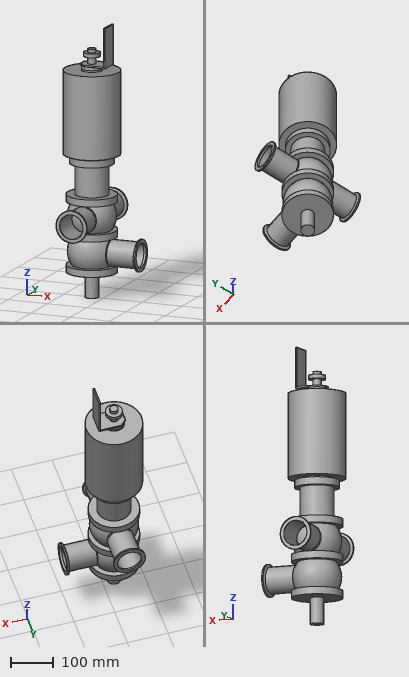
import cadquery as cq
import math

DRAIN_BOTTOM = 0.0
LOWER_CHAMBER_Z = 112.0
CHAMBER_PITCH = 85.5
UPPER_CHAMBER_Z = LOWER_CHAMBER_Z + CHAMBER_PITCH
FLANGE_THICKNESS = 17.0
FLANGE_BOTTOMS = [62.0, 147.0, 232.0]
COLLAR_BOTTOM = 324.0
COLLAR_TOP = 341.5
ACTUATOR_BOTTOM = 346.5
ACTUATOR_TOP = 548.5
SEAT_TOP = 552.5
BASE_TOP = 560.5
KNOB_BOTTOM = 582.0
KNOB_TOP = 591.0
TIP_TOP = 600.0

DRAIN_DIA = 32.0
FLANGE_DIA = 121.0
CHAMBER_DIA = 116.0
NECK_DIA = 80.0
COLLAR_DIA = 105.0
ACTUATOR_DIA = 135.5
SEAT_DIA = 50.0
STEM_DIA = 20.0
KNOB_DIA = 40.0

LOWER_PORT_TURNS = [0]
UPPER_PORT_TURNS = [90, -90]
PORT_REACH = 125.0
PIPE_START = CHAMBER_DIA / 4
PIPE_DIA = 64.0
PORT_BORE_DIA = 59.0
FERRULE_DIA = 77.5
FERRULE_RIM = 4.0
FERRULE_TAPER = 2.5

BRACKET_THICKNESS = 4.0
BRACKET_WIDTH = SEAT_DIA
BRACKET_FRONT_X = -BRACKET_WIDTH / 2
BRACKET_BACK_X = 44.0
BRACKET_TOP = 658.0
BRACKET_CORNER = 14.5

SEAM_TURN = 135


def disc(diameter, bottom, top):
    """Vertical cylinder on the valve axis."""
    return cq.Workplane("XY", origin=(0, 0, bottom)).circle(diameter / 2).extrude(top - bottom)


def chamber(center_z, bottom, top):
    """Spherical valve chamber, cut flat where it meets the flanges below and above."""
    radius = CHAMBER_DIA / 2
    bottom_radius = math.sqrt(radius**2 - (bottom - center_z) ** 2)
    top_radius = math.sqrt(radius**2 - (top - center_z) ** 2)
    return (
        cq.Workplane("XZ")
        .moveTo(0, bottom)
        .lineTo(bottom_radius, bottom)
        .threePointArc((radius, center_z), (top_radius, top))
        .lineTo(0, top)
        .close()
        .revolve(360, (0, 0, 0), (0, 1, 0))
        .rotate((0, 0, 0), (0, 0, 1), SEAM_TURN)
    )


def port(center_z, turn):
    """Pipe along +X with a tapered clamp ferrule, turned about the valve axis.

    The pipe wall starts inside the chamber, so the bore stops at the spherical chamber wall.
    """
    rim_start = PORT_REACH - FERRULE_RIM
    taper_start = rim_start - FERRULE_TAPER
    profile = [
        (PIPE_START, PORT_BORE_DIA / 2),
        (PIPE_START, PIPE_DIA / 2),
        (taper_start, PIPE_DIA / 2),
        (rim_start, FERRULE_DIA / 2),
        (PORT_REACH, FERRULE_DIA / 2),
        (PORT_REACH, PORT_BORE_DIA / 2),
    ]
    pipe = cq.Workplane("XZ").polyline(profile).close().revolve(360, (0, 0, 0), (1, 0, 0))
    return pipe.rotate((0, 0, 0), (0, 0, 1), turn).translate((0, 0, center_z))


def chamber_with_ports(center_z, bottom, top, turns):
    """Chamber with one pipe for each turn angle."""
    body = chamber(center_z, bottom, top)
    for turn in turns:
        body = body.union(port(center_z, turn))
    return body


def make_valve():
    """Valve body and actuator as one solid."""
    flange_tops = [bottom + FLANGE_THICKNESS for bottom in FLANGE_BOTTOMS]

    valve = chamber_with_ports(LOWER_CHAMBER_Z, flange_tops[0], FLANGE_BOTTOMS[1], LOWER_PORT_TURNS)
    upper = chamber_with_ports(UPPER_CHAMBER_Z, flange_tops[1], FLANGE_BOTTOMS[2], UPPER_PORT_TURNS)
    valve = valve.union(disc(FLANGE_DIA, FLANGE_BOTTOMS[1], flange_tops[1])).union(upper)
    for index in (0, 2):
        valve = valve.union(disc(FLANGE_DIA, FLANGE_BOTTOMS[index], flange_tops[index]))

    valve = valve.union(disc(DRAIN_DIA, DRAIN_BOTTOM, FLANGE_BOTTOMS[0]))
    valve = valve.union(disc(NECK_DIA, flange_tops[2], ACTUATOR_BOTTOM))
    valve = valve.union(disc(COLLAR_DIA, COLLAR_BOTTOM, COLLAR_TOP))
    valve = valve.union(disc(ACTUATOR_DIA, ACTUATOR_BOTTOM, ACTUATOR_TOP))
    return valve.union(disc(SEAT_DIA, ACTUATOR_TOP, SEAT_TOP))


def make_bracket():
    """L-shaped plate with two cut corners at its free end."""
    length = BRACKET_BACK_X - BRACKET_FRONT_X
    foot = (
        cq.Workplane("XY", origin=(BRACKET_FRONT_X + length / 2, 0, BASE_TOP))
        .rect(length, BRACKET_WIDTH)
        .extrude(BRACKET_THICKNESS)
        .edges("|Z and <X")
        .chamfer(BRACKET_CORNER)
    )
    upright = (
        cq.Workplane("XY", origin=(BRACKET_BACK_X - BRACKET_THICKNESS / 2, 0, BASE_TOP))
        .rect(BRACKET_THICKNESS, BRACKET_WIDTH)
        .extrude(BRACKET_TOP - BASE_TOP)
    )
    return foot.union(upright)


def make_indicator():
    """Position indicator standing on the actuator seat: base, bracket, stem and knob as one solid."""
    indicator = make_bracket()
    indicator = indicator.union(disc(SEAT_DIA, SEAT_TOP, BASE_TOP))
    indicator = indicator.union(disc(STEM_DIA, BASE_TOP, TIP_TOP))
    return indicator.union(disc(KNOB_DIA, KNOB_BOTTOM, KNOB_TOP))


valve = make_valve()
indicator = make_indicator()

result = cq.Compound.makeCompound([valve.val(), indicator.val()])